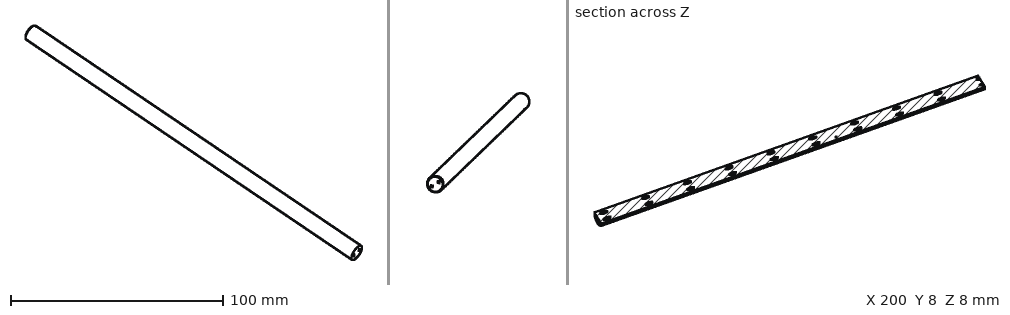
import cadquery as cq
import math

rod_length = 200.0
rod_diameter = 8.0
end_chamfer = 0.4

channel_diameter = 1.0
channel_circle_diameter = 4.0
channel_count = 2
helix_angle = 30.0

helix_pitch = math.pi * rod_diameter / math.tan(math.radians(helix_angle))
total_twist = 360 * rod_length / helix_pitch


def make_rod():
    rod = cq.Workplane("YZ").circle(rod_diameter / 2).extrude(rod_length)
    return rod.faces("<X").chamfer(end_chamfer)


def make_channel(end_angle):
    """Right-handed channel that leaves the +X end face at end_angle, measured from +Y toward +Z."""
    channel = (
        cq.Workplane("YZ")
        .center(channel_circle_diameter / 2, 0)
        .circle(channel_diameter / 2)
        .center(-channel_circle_diameter / 2, 0)
        .twistExtrude(rod_length, total_twist)
    )
    return channel.rotate((0, 0, 0), (1, 0, 0), end_angle - total_twist)


result = make_rod()
for index in range(channel_count):
    result = result.cut(make_channel(index * 360 / channel_count))